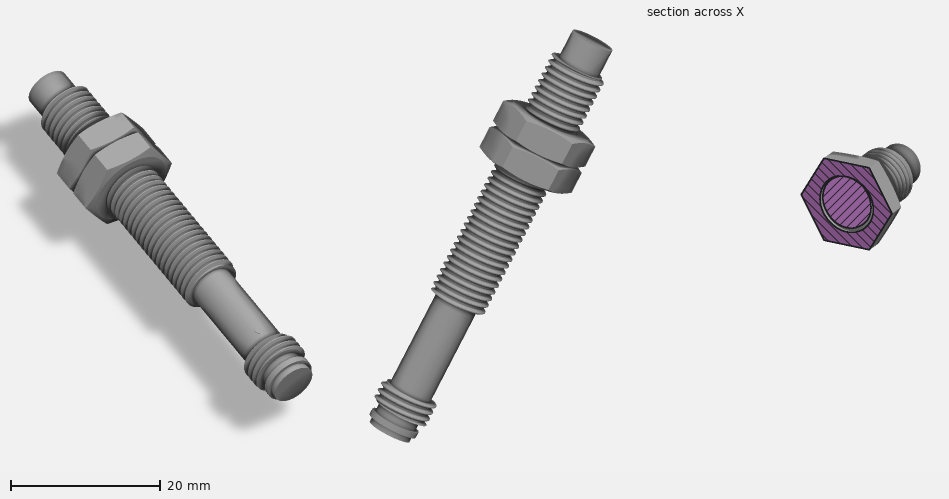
import cadquery as cq
import math

LENGTH = 60.0
BARREL_RADIUS = 3.0

PITCH = LENGTH / 60
CREST_RADIUS = 4.0
ROOT_RADIUS = 3.5
CREST_FLAT = PITCH / 8
ROOT_FLAT = PITCH / 4
SPARE_TURNS = 2
MAIN_START = 4.0
MAIN_END = 40.0
MAIN_PHASE = 0.87
REAR_START = 53.95
REAR_END = 57.0
REAR_PHASE = 0.37

RING_START = 58.25
RING_END = 59.1
RING_RADIUS = ROOT_RADIUS

LIGHT_X = 51.6
LIGHT_DIAMETER = 1.3

NUT_START = 12.3
NUT_THICKNESS = 4.0
NUT_COUNT = 2
ACROSS_FLATS = 12.0
ACROSS_CORNERS = ACROSS_FLATS / math.cos(math.radians(30))
BEARING_RADIUS = 5.6
NUT_CHAMFER_ANGLE = 20.0


def cylinder_along_x(start, end, radius):
    return cq.Workplane("YZ", origin=(start, 0, 0)).circle(radius).extrude(end - start)


def screw_face(inner, outer, base):
    """One turn of the screw surface between two (radius, height) points of the thread profile."""
    rails = []
    for radius, height in (inner, outer):
        if radius == 0:
            rails.append(cq.Edge.makeLine(cq.Vector(0, 0, base + height), cq.Vector(0, 0, base + height + PITCH)))
        else:
            turn = cq.Wire.makeHelix(PITCH, PITCH, radius, cq.Vector(0, 0, base + height))
            rails.append(turn.Edges()[0])
    return cq.Face.makeRuledSurface(*rails)


def long_screw(turns):
    """Right-handed screw along Z, closed at both ends by a spiral step down to its axis."""
    low = -PITCH / 2
    high = PITCH / 2
    profile = [
        (ROOT_RADIUS, low),
        (ROOT_RADIUS, low + ROOT_FLAT / 2),
        (CREST_RADIUS, -CREST_FLAT / 2),
        (CREST_RADIUS, CREST_FLAT / 2),
        (ROOT_RADIUS, high - ROOT_FLAT / 2),
        (ROOT_RADIUS, high),
    ]
    faces = []
    for turn in range(turns):
        for near, far in zip(profile, profile[1:]):
            faces.append(screw_face(near, far, turn * PITCH))
    step = [(0, low), *profile, (0, high)]
    for base in (0, turns * PITCH):
        corners = [cq.Vector(radius, 0, base + height) for radius, height in step]
        faces.append(cq.Face.makeFromWires(cq.Wire.makePolygon(corners, close=True)))
        faces.append(screw_face(step[0], step[1], base))
    return cq.Workplane(cq.Solid.makeSolid(cq.Shell.makeShell(faces)))


def threaded_stretch(start, end, phase):
    """Length of screw along X, cut flat at both ends."""
    turns = math.ceil((end - start) / PITCH) + 2 * SPARE_TURNS
    screw = long_screw(turns).rotate((0, 0, 0), (0, 1, 0), 90)
    screw = screw.translate((start + (phase - SPARE_TURNS) * PITCH, 0, 0))
    return screw.intersect(cylinder_along_x(start, end, 2 * CREST_RADIUS))


def indicator_light():
    """Flat round window, level with the top line of the barrel."""
    return cq.Workplane("XY").center(LIGHT_X, 0).circle(LIGHT_DIAMETER / 2).extrude(BARREL_RADIUS)


def make_sensor():
    sensor = threaded_stretch(MAIN_START, MAIN_END, MAIN_PHASE)
    sensor = sensor.union(threaded_stretch(REAR_START, REAR_END, REAR_PHASE))
    sensor = sensor.union(cylinder_along_x(0, MAIN_START, BARREL_RADIUS))
    sensor = sensor.union(cylinder_along_x(MAIN_END, REAR_START, BARREL_RADIUS))
    sensor = sensor.union(indicator_light())
    sensor = sensor.union(cylinder_along_x(REAR_END, LENGTH, BARREL_RADIUS))
    return sensor.union(cylinder_along_x(RING_START, RING_END, RING_RADIUS))


def chamfered_nut(start):
    """One hexagonal nut with flats facing up and down and conical chamfers on both faces."""
    end = start + NUT_THICKNESS
    corner_radius = ACROSS_CORNERS / 2
    chamfer = (corner_radius - BEARING_RADIUS) * math.tan(math.radians(NUT_CHAMFER_ANGLE))
    prism = cq.Workplane("YZ", origin=(start, 0, 0)).polygon(6, ACROSS_CORNERS).extrude(NUT_THICKNESS)
    envelope = (
        cq.Workplane("XZ")
        .polyline([
            (start, CREST_RADIUS),
            (start, BEARING_RADIUS),
            (start + chamfer, corner_radius),
            (end - chamfer, corner_radius),
            (end, BEARING_RADIUS),
            (end, CREST_RADIUS),
        ])
        .close()
        .revolve(360, (0, 0, 0), (1, 0, 0))
    )
    return prism.intersect(envelope)


def make_lock_nuts():
    """The nuts meet face to face and form one body."""
    nuts = chamfered_nut(NUT_START)
    for index in range(1, NUT_COUNT):
        nuts = nuts.union(chamfered_nut(NUT_START + index * NUT_THICKNESS))
    return nuts


sensor = make_sensor()
lock_nuts = make_lock_nuts()

result = cq.Compound.makeCompound([sensor.solids().val(), lock_nuts.solids().val()])